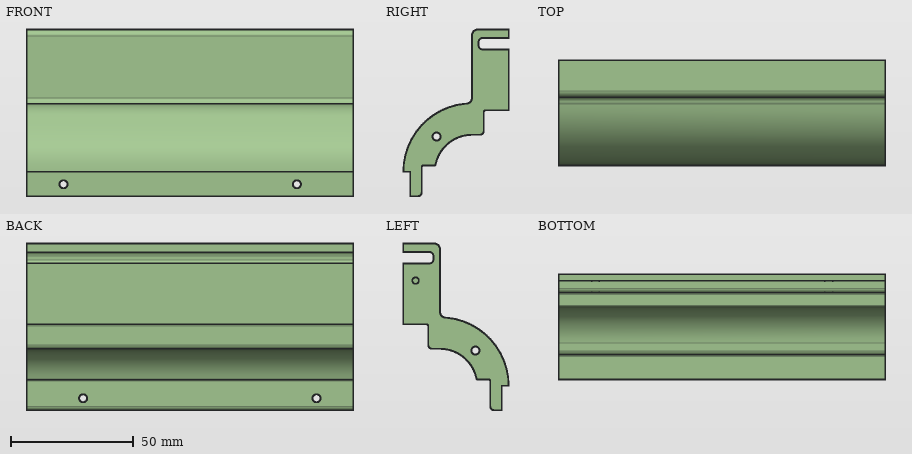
import cadquery as cq
import math

length = 133.0
depth = 43.0
height = 68.0

wall_depth = 15.0
wall_bottom = 35.0
wall_top_radius = 2.5
slot_depth = 12.2
slot_top = height - 3.6
slot_bottom = height - 8.1
slot_radius = 1.5

arc_center_z = 10.0
outer_radius = depth - wall_depth
inner_radius = 15.0
shelf_z = 37.8
shelf_radius = 2.3
step_depth = 10.1
step_radius = 1.7
ledge_z = 12.5
ledge_edge_radius = 0.5
inside_radius = 0.5

tongue_back = 35.4
tongue_front = 40.2
tongue_radius = 1.7

wall_hole_diameter = 2.7
wall_hole_depth = 10.6
wall_hole_y = -5.0
wall_hole_z = height - 15.2
hole_diameter = 3.2
body_hole_y = -29.4
body_hole_z = 24.3
tongue_hole_positions = (15.0, 110.0)
tongue_hole_z = 4.9


def arc_point(radius, angle):
    """Point (Y, Z) on a body arc; the angle rises from the front horizontal."""
    return (
        -wall_depth - radius * math.cos(angle),
        arc_center_z + radius * math.sin(angle),
    )


def make_profile_solid():
    """Extrude the sharp-cornered section along X."""
    shelf_angle = math.asin((shelf_z - arc_center_z) / outer_radius)
    ledge_angle = math.asin((ledge_z - arc_center_z) / inner_radius)
    inner_mid_angle = (ledge_angle + math.pi / 2) / 2
    return (
        cq.Workplane("YZ")
        .moveTo(0, height)
        .lineTo(-wall_depth, height)
        .lineTo(-wall_depth, shelf_z)
        .lineTo(*arc_point(outer_radius, shelf_angle))
        .threePointArc(arc_point(outer_radius, shelf_angle / 2), arc_point(outer_radius, 0))
        .lineTo(-tongue_front, arc_center_z)
        .lineTo(-tongue_front, 0)
        .lineTo(-tongue_back, 0)
        .lineTo(-tongue_back, ledge_z)
        .lineTo(*arc_point(inner_radius, ledge_angle))
        .threePointArc(
            arc_point(inner_radius, inner_mid_angle),
            arc_point(inner_radius, math.pi / 2),
        )
        .lineTo(-step_depth, arc_center_z + inner_radius)
        .lineTo(-step_depth, wall_bottom)
        .lineTo(0, wall_bottom)
        .lineTo(0, slot_bottom)
        .lineTo(-slot_depth, slot_bottom)
        .lineTo(-slot_depth, slot_top)
        .lineTo(0, slot_top)
        .close()
        .extrude(length)
    )


def round_edge(body, y, z, radius):
    """Fillet the lengthwise edge that passes through (y, z)."""
    middle = (length / 2, y, z)
    return body.edges("|X").edges(cq.selectors.NearestToPointSelector(middle)).fillet(radius)


def hole_along_x(y, z, diameter, hole_depth):
    return cq.Workplane("YZ").center(y, z).circle(diameter / 2).extrude(hole_depth)


body = make_profile_solid()

ledge_edge_y = -wall_depth - math.sqrt(inner_radius**2 - (ledge_z - arc_center_z) ** 2)
rounded_edges = (
    (-wall_depth, height, wall_top_radius),
    (-wall_depth, shelf_z, shelf_radius),
    (-slot_depth, slot_top, slot_radius),
    (-slot_depth, slot_bottom, slot_radius),
    (-step_depth, wall_bottom, inside_radius),
    (-step_depth, arc_center_z + inner_radius, step_radius),
    (ledge_edge_y, ledge_z, ledge_edge_radius),
    (-tongue_back, ledge_z, inside_radius),
    (-tongue_back, 0, tongue_radius),
)
for edge_y, edge_z, radius in rounded_edges:
    body = round_edge(body, edge_y, edge_z, radius)

body = body.cut(hole_along_x(wall_hole_y, wall_hole_z, wall_hole_diameter, wall_hole_depth))
body = body.cut(hole_along_x(body_hole_y, body_hole_z, hole_diameter, length))

for hole_x in tongue_hole_positions:
    tongue_hole = (
        cq.Workplane("XZ")
        .center(hole_x, tongue_hole_z)
        .circle(hole_diameter / 2)
        .extrude(depth)
    )
    body = body.cut(tongue_hole)

result = body